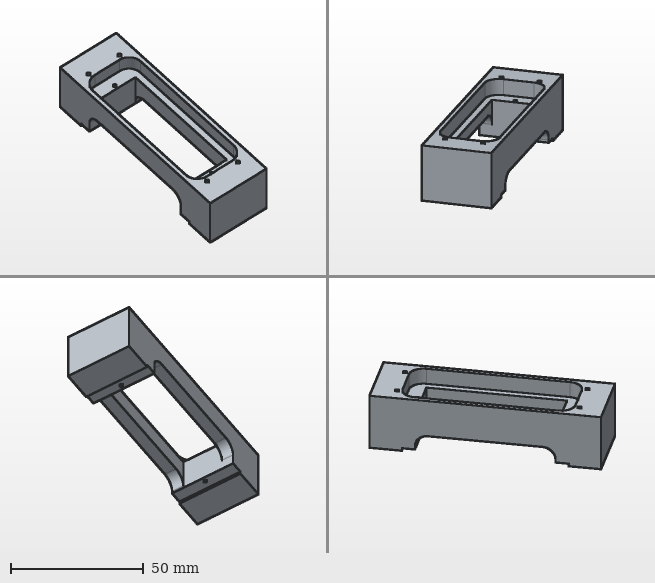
import cadquery as cq

length = 88.9
width = 27.5
height = 22.2

foot_length = 12.45
relief_height = 1.1

window_length = 54.0
window_width = 17.3

front_arch_height = 10.9
back_arch_height = 7.2
arch_radius = 5.0

pocket_length = 66.3
pocket_width = 23.3
pocket_depth = 6.4
pocket_radius = 5.6

corner_hole_diameter = 1.5
corner_hole_depth = 7.1
corner_hole_spacing_x = 70.05
corner_hole_spacing_y = 15.0

floor_hole_diameter = 1.3
floor_hole_spacing = 57.4


def box_from_base(size_x, size_y, size_z):
    return cq.Workplane("XY").box(size_x, size_y, size_z, centered=(True, True, False))


def arch_cutter(arch_height, side):
    """Arch opening from the middle of the block out through one wall (side is -1 or +1 in Y)."""
    half_width = width / 2
    return (
        box_from_base(window_length, half_width, arch_height)
        .edges("|Y and >Z")
        .fillet(arch_radius)
        .translate((0, side * half_width / 2, 0))
    )


body = box_from_base(length, width, height)

body = body.cut(box_from_base(length - 2 * foot_length, width, relief_height))

body = body.cut(arch_cutter(front_arch_height, -1))
body = body.cut(arch_cutter(back_arch_height, 1))

pocket = (
    box_from_base(pocket_length, pocket_width, pocket_depth)
    .edges("|Z")
    .fillet(pocket_radius)
    .translate((0, 0, height - pocket_depth))
)
body = body.cut(pocket)

body = body.cut(box_from_base(window_length, window_width, height))

corner_holes = (
    cq.Workplane("XY", origin=(0, 0, height))
    .rarray(corner_hole_spacing_x, corner_hole_spacing_y, 2, 2)
    .circle(corner_hole_diameter / 2)
    .extrude(-corner_hole_depth)
)
body = body.cut(corner_holes)

floor_holes = (
    cq.Workplane("XY")
    .rarray(floor_hole_spacing, 0.9, 2, 1)
    .circle(floor_hole_diameter / 2)
    .extrude(height)
)
result = body.cut(floor_holes)